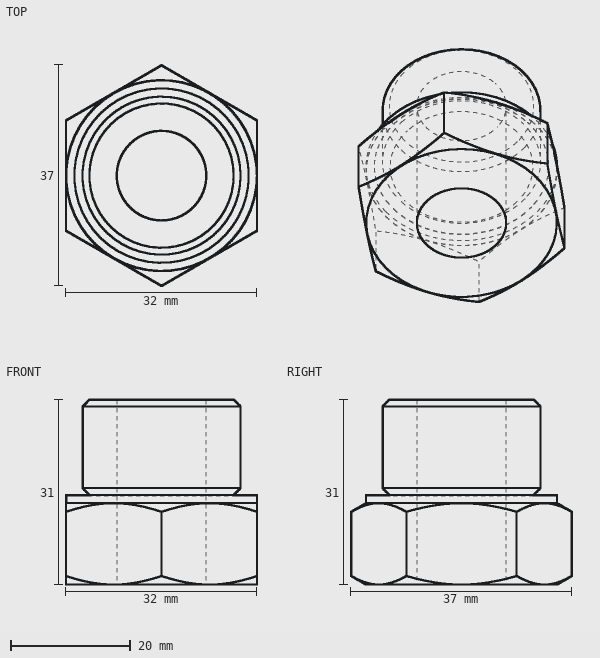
import cadquery as cq
import math

corner_diameter = 36.95
flat_width = corner_diameter * math.cos(math.pi / 6)
total_height = 31.0
hex_height = 13.67
bevel_end_diameter = 31.9
bevel_angle = math.radians(30)

collar_diameter = flat_width
collar_height = 1.33
collar_top = hex_height + collar_height
recess_diameter = 29.2
recess_depth = 0.1
recess_floor = collar_top - recess_depth

spigot_diameter = 26.45
root_diameter = 23.9
root_bevel = (spigot_diameter - root_diameter) / 2
tip_bevel = 1.15

bore_diameter = 14.95


def make_hexagon():
    """Hexagonal prism with its corners on the Y axis, bevelled conically at both ends."""
    prism = (
        cq.Workplane("XY")
        .polygon(6, corner_diameter)
        .extrude(hex_height)
        .rotate((0, 0, 0), (0, 0, 1), 90)
    )
    end_radius = bevel_end_diameter / 2
    corner_radius = corner_diameter / 2
    bevel_height = (corner_radius - end_radius) * math.tan(bevel_angle)
    envelope = (
        cq.Workplane("XZ")
        .moveTo(0, 0)
        .lineTo(end_radius, 0)
        .lineTo(corner_radius, bevel_height)
        .lineTo(corner_radius, hex_height - bevel_height)
        .lineTo(end_radius, hex_height)
        .lineTo(0, hex_height)
        .close()
        .revolve(360, (0, 0, 0), (0, 1, 0))
    )
    return prism.intersect(envelope)


def make_collar_and_spigot():
    """Revolved collar, with a shallow recess in its face, and the spigot rising from it."""
    recess_radius = recess_diameter / 2
    spigot_radius = spigot_diameter / 2
    return (
        cq.Workplane("XZ")
        .moveTo(0, hex_height)
        .lineTo(collar_diameter / 2, hex_height)
        .lineTo(collar_diameter / 2, collar_top)
        .lineTo(recess_radius, collar_top)
        .lineTo(recess_radius, recess_floor)
        .lineTo(root_diameter / 2, recess_floor)
        .lineTo(spigot_radius, recess_floor + root_bevel)
        .lineTo(spigot_radius, total_height - tip_bevel)
        .lineTo(spigot_radius - tip_bevel, total_height)
        .lineTo(0, total_height)
        .close()
        .revolve(360, (0, 0, 0), (0, 1, 0))
    )


bore = cq.Workplane("XY").circle(bore_diameter / 2).extrude(total_height)
result = make_hexagon().union(make_collar_and_spigot()).cut(bore)